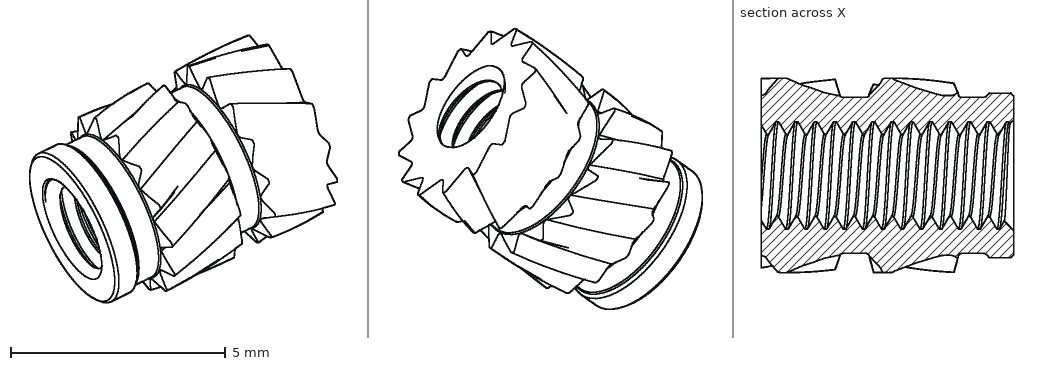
import cadquery as cq
import math


LENGTH = 5.9
PILOT_LENGTH = 0.645
LOWER_KNURL_START = 1.28
LOWER_KNURL_END = 3.39
UPPER_KNURL_START = 4.055

NECK_RADIUS = 1.83
PILOT_RADIUS = 1.93
PILOT_CHAMFER = 0.07
NECK_FLARE_RISE = 0.025
NECK_FLARE_LENGTH = 0.05
FLARE_RADIUS = NECK_RADIUS + NECK_FLARE_RISE

KNURL_RADIUS = 4.55 / 2
KNURL_END_TAPER = 0.12
TOOTH_COUNT = 14
TOOTH_PITCH = 360.0 / TOOTH_COUNT
CREST_ANGLE = 2.8
STEEP_FLANK_ANGLE = 4.8
CREST_ROUNDING = 0.04
ROOT_ROUNDING = 0.1
KNURL_LEAD = 28.025
KNURL_SEAT_RADIUS = 1.535
CONE_OVERRUN = 2
LOWER_CREST_ANGLE = 8.6
UPPER_CREST_ANGLE = -4.5

BORE_RADIUS = 0.955
COUNTERSINK_RADIUS = 1.29
THREAD_MAJOR_RADIUS = 1.25
THREAD_PITCH = 0.45
THREAD_ROOT_WIDTH = THREAD_PITCH / 8
THREAD_HALF_ANGLE = 30.0
THREAD_OVERLAP = 0.02
THREAD_START_ANGLE = -90.0
THREAD_START = 0.14


def polar(radius, angle):
    """Point in the cross-section at an angle in degrees."""
    turn = math.radians(angle)
    return (radius * math.cos(turn), radius * math.sin(turn))


def revolve_profile(points):
    """Turn a closed outline of (radius, height) points about Z."""
    return cq.Workplane("XZ").polyline(points).close().revolve(360, (0, 0, 0), (0, 1, 0))


def make_core():
    """Plain turned body: pilot, neck and the seats of both knurls, flared at the steps."""
    return revolve_profile([
        (0, 0),
        (PILOT_RADIUS - PILOT_CHAMFER, 0),
        (PILOT_RADIUS, PILOT_CHAMFER),
        (PILOT_RADIUS, PILOT_LENGTH - PILOT_CHAMFER),
        (FLARE_RADIUS, PILOT_LENGTH),
        (NECK_RADIUS, PILOT_LENGTH + NECK_FLARE_LENGTH),
        (NECK_RADIUS, LOWER_KNURL_START - NECK_FLARE_LENGTH),
        (FLARE_RADIUS, LOWER_KNURL_START),
        (FLARE_RADIUS, LOWER_KNURL_END),
        (NECK_RADIUS, LOWER_KNURL_END + NECK_FLARE_LENGTH),
        (NECK_RADIUS, UPPER_KNURL_START - NECK_FLARE_LENGTH),
        (FLARE_RADIUS, UPPER_KNURL_START),
        (FLARE_RADIUS, LENGTH),
        (0, LENGTH),
    ])


def toothed_section(crest_angle, hand):
    """Cross-section of a knurl; hand +1 or -1 picks the side of the steep flank."""
    half_crest = hand * CREST_ANGLE / 2
    root_offset = half_crest + hand * STEEP_FLANK_ANGLE
    crests = [crest_angle + hand * tooth * TOOTH_PITCH for tooth in range(TOOTH_COUNT)]

    outline = cq.Workplane("XY").moveTo(*polar(NECK_RADIUS, crests[0] - root_offset))
    for crest in crests:
        outline = (
            outline
            .lineTo(*polar(KNURL_RADIUS, crest - half_crest))
            .threePointArc(polar(KNURL_RADIUS, crest), polar(KNURL_RADIUS, crest + half_crest))
            .lineTo(*polar(NECK_RADIUS, crest + hand * TOOTH_PITCH - root_offset))
        )
    section = cq.Face.makeFromWires(outline.close().val())

    middle_radius = (NECK_RADIUS + KNURL_RADIUS) / 2
    corners = section.Vertices()
    crest_corners = [corner for corner in corners if math.hypot(corner.X, corner.Y) > middle_radius]
    section = section.fillet2D(CREST_ROUNDING, crest_corners)
    root_corners = [
        corner for corner in section.Vertices() if math.hypot(corner.X, corner.Y) < middle_radius
    ]
    section = section.fillet2D(ROOT_ROUNDING, root_corners)
    return cq.Workplane("XY").add(section.outerWire()).toPending()


def make_knurl(start, end, crest_angle, hand, tapered_end):
    """Helical knurl band with coned ends, hollow inside."""
    height = end - start
    twist = hand * 360.0 * height / KNURL_LEAD
    teeth = toothed_section(crest_angle, hand).twistExtrude(height, twist)
    teeth = teeth.translate((0, 0, start))

    cone_radius = FLARE_RADIUS + CONE_OVERRUN * (KNURL_RADIUS - FLARE_RADIUS)
    cone_length = CONE_OVERRUN * KNURL_END_TAPER
    envelope = [
        (KNURL_SEAT_RADIUS, start),
        (FLARE_RADIUS, start),
        (cone_radius, start + cone_length),
    ]
    if tapered_end:
        envelope += [(cone_radius, end - cone_length), (FLARE_RADIUS, end)]
    else:
        envelope += [(cone_radius, end)]
    envelope += [(KNURL_SEAT_RADIUS, end)]
    return teeth.intersect(revolve_profile(envelope))


def make_tap():
    """Threaded rod: the minor-diameter bore carrying a right-hand V ridge along a helix."""
    root_radius = BORE_RADIUS - THREAD_OVERLAP
    half_crest = THREAD_ROOT_WIDTH / 2
    depth = THREAD_MAJOR_RADIUS - root_radius
    half_base = half_crest + depth * math.tan(math.radians(THREAD_HALF_ANGLE))
    start = THREAD_START - THREAD_PITCH
    turns = math.ceil(LENGTH / THREAD_PITCH) + 2
    height = turns * THREAD_PITCH

    single_turn = cq.Wire.makeHelix(THREAD_PITCH, THREAD_PITCH, root_radius)
    helix = cq.Wire.combine([
        single_turn.translate(cq.Vector(0, 0, turn * THREAD_PITCH)) for turn in range(turns)
    ])[0]
    ridge = (
        cq.Workplane("XZ")
        .polyline([
            (root_radius, -half_base),
            (THREAD_MAJOR_RADIUS, -half_crest),
            (THREAD_MAJOR_RADIUS, half_crest),
            (root_radius, half_base),
        ])
        .close()
        .sweep(cq.Workplane(helix), isFrenet=True)
        .rotate((0, 0, 0), (0, 0, 1), THREAD_START_ANGLE)
        .translate((0, 0, start))
    )
    rod = (
        cq.Workplane("XY")
        .workplane(offset=start - THREAD_PITCH)
        .circle(BORE_RADIUS)
        .extrude(height + 2 * THREAD_PITCH)
    )
    return rod.union(ridge)


def make_countersink():
    """45 degree cone opening the bore at the pilot end."""
    return revolve_profile([(0, 0), (COUNTERSINK_RADIUS, 0), (0, COUNTERSINK_RADIUS)])


lower_knurl = make_knurl(LOWER_KNURL_START, LOWER_KNURL_END, LOWER_CREST_ANGLE, -1, tapered_end=True)
upper_knurl = make_knurl(UPPER_KNURL_START, LENGTH, UPPER_CREST_ANGLE, 1, tapered_end=False)

insert = make_core().cut(make_tap()).cut(make_countersink())
insert = insert.union(lower_knurl).union(upper_knurl)

result = insert.rotate((0, 0, 0), (1, 0, 0), -90)